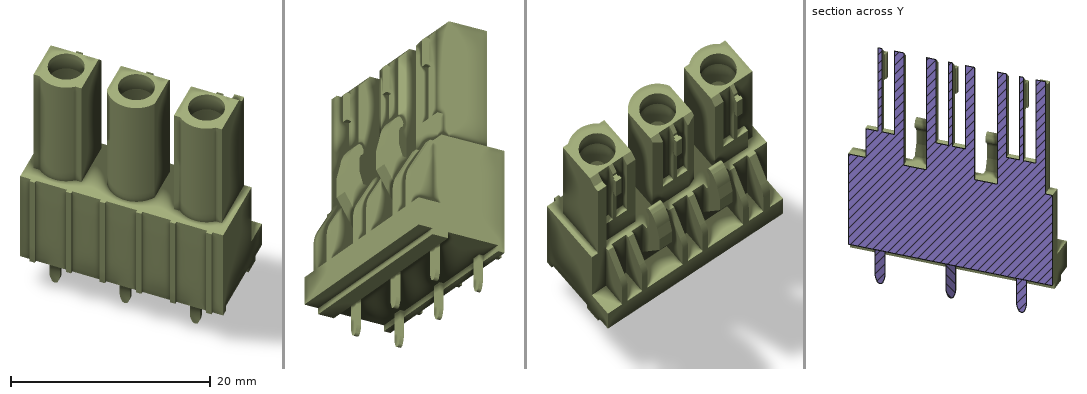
import cadquery as cq
import math

POLE_COUNT = 3
PITCH = 7.63
POLE_X = [(i - (POLE_COUNT - 1) / 2) * PITCH for i in range(POLE_COUNT)]
LEFT_X = POLE_X[0]
RIGHT_X = POLE_X[-1]

BASE_LENGTH = 22.05
BASE_FRONT_Y = -3.85
BASE_BACK_Y = 3.58
BASE_TOP_Z = 11.32
UNDERSIDE_Z = 0.67
SHELF_BACK_Y = 6.27
SHELF_TOP_Z = 3.7
FRONT_FOOT_BACK_Y = -3.08
BACK_FOOT_FRONT_Y = 2.8
BACK_FOOT_BACK_Y = 4.63

RIB_WIDTH = 0.58
RIB_HEIGHT = 0.3
RIB_OFFSET = 1.97

FIN_INNER_OFFSET = 0.92
FIN_THICKNESS = 0.7
END_FIN_THICKNESS = 0.85
FIN_TOP_DEPTH = 0.35
FIN_SLOPE_ANGLE = 59.0
FIN_ROUND_RADIUS = 3.27

LATCH_WIDTH = 1.58
LATCH_BACK_Y = 6.38
LATCH_BACK_TOP_Z = 12.07
LATCH_BACK_BOTTOM_Z = 9.93
LATCH_ROOT_Z = 5.65
LATCH_STEM_FOOT_Y = 4.22
LATCH_STEM_Y = 4.63
LATCH_STEM_BOTTOM_Z = 12.57
LATCH_STEM_TOP_Z = 14.12
LATCH_HOLLOW_MIDDLE = (4.52, 14.4)
LATCH_NOSE_UNDERSIDE = (4.27, 14.6)
LATCH_NOSE_MIDDLE = (4.15, 14.87)
LATCH_NOSE_FRONT = (4.2, 15.17)
LATCH_NOSE_TOP_START = (4.33, 15.45)
LATCH_NOSE_PEAK = (4.58, 15.65)
LATCH_NOSE_TOP_END = (4.83, 15.55)
LATCH_CROWN_START = (5.13, 15.3)
LATCH_CROWN_MIDDLE = (5.7, 14.54)
LATCH_CROWN_END = (5.96, 13.62)

TOWER_TOP_Z = 24.55
TOWER_WIDTH = 5.22
TOWER_ARC_RADIUS = 3.0
TOWER_SHOULDER_Y = -2.27
TOWER_BACK_Y = 2.9
TOP_CHAMFER_DEPTH = 0.7
TOP_CHAMFER_DROP = 0.78
CORNER_CHAMFER_X = 0.85
CORNER_CHAMFER_Y = 0.35

RECESS_HALF_WIDTH = 1.55
RECESS_FRONT_Y = TOWER_BACK_Y - TOP_CHAMFER_DEPTH
RECESS_FLOOR_Z = 14.7
NECK_WIDTH = 0.47
HEAD_WIDTH = 0.72
HEAD_FRONT_Y = 3.2
HEAD_BOTTOM_Z = 20.35
HEAD_TOP_Z = 23.35

KEY_TOP_Z = TOWER_TOP_Z - TOP_CHAMFER_DROP

SOCKET_RADIUS = 1.85
SOCKET_DEPTH = 2.08
CONE_END_RADIUS = 0.95
CONE_DEPTH = 1.95

PIN_WIDTH = 1.1
PIN_TIP_Z = -3.2
PIN_TAPER_Z = -2.22
PIN_FLANK_Z = -2.58
PIN_FLANK_WIDTH = 0.97
PIN_END_Z = -2.88
PIN_END_WIDTH = 0.72
PIN_ROWS = [(-3.02, 0.45), (2.0, 0.53)]


def box(x_min, x_max, y_min, y_max, z_min, z_max):
    """Axis-aligned box between the given limits."""
    size = (x_max - x_min, y_max - y_min, z_max - z_min)
    return cq.Workplane("XY").box(*size, centered=False).translate((x_min, y_min, z_min))


def side_plane(x_min):
    """Workplane at x_min for a (Y, Z) outline that is extruded along +X."""
    return cq.Workplane("YZ", origin=(x_min, 0, 0))


def make_base():
    """Block with a shelf along its back and a foot along each underside edge."""
    outline = side_plane(-BASE_LENGTH / 2).polyline([
        (BASE_FRONT_Y, 0),
        (FRONT_FOOT_BACK_Y, 0),
        (FRONT_FOOT_BACK_Y, UNDERSIDE_Z),
        (BACK_FOOT_FRONT_Y, UNDERSIDE_Z),
        (BACK_FOOT_FRONT_Y, 0),
        (BACK_FOOT_BACK_Y, 0),
        (BACK_FOOT_BACK_Y, UNDERSIDE_Z),
        (SHELF_BACK_Y, UNDERSIDE_Z),
        (SHELF_BACK_Y, SHELF_TOP_Z),
        (BASE_BACK_Y, SHELF_TOP_Z),
        (BASE_BACK_Y, BASE_TOP_Z),
        (BASE_FRONT_Y, BASE_TOP_Z),
    ]).close()
    return outline.extrude(BASE_LENGTH)


def make_front_rib(center_x):
    """Full-height vertical rib on the front wall."""
    return box(center_x - RIB_WIDTH / 2, center_x + RIB_WIDTH / 2,
               BASE_FRONT_Y - RIB_HEIGHT, BASE_FRONT_Y, 0, BASE_TOP_Z)


def make_fin(x_min, x_max):
    """Fin on the shelf: flat top, sloping back, rounded into a vertical edge."""
    slope = math.radians(FIN_SLOPE_ANGLE)
    top_end_y = BASE_BACK_Y + FIN_TOP_DEPTH
    corner_z = BASE_TOP_Z - (SHELF_BACK_Y - top_end_y) * math.tan(slope)
    turn = math.pi / 2 - slope
    setback = FIN_ROUND_RADIUS * math.tan(turn / 2)
    arc_start = (SHELF_BACK_Y - setback * math.cos(slope), corner_z + setback * math.sin(slope))
    arc_end = (SHELF_BACK_Y, corner_z - setback)
    arc_middle = (SHELF_BACK_Y - FIN_ROUND_RADIUS * (1 - math.cos(turn / 2)),
                  corner_z - setback + FIN_ROUND_RADIUS * math.sin(turn / 2))
    outline = (
        side_plane(x_min)
        .moveTo(BASE_BACK_Y, SHELF_TOP_Z)
        .lineTo(BASE_BACK_Y, BASE_TOP_Z)
        .lineTo(top_end_y, BASE_TOP_Z)
        .lineTo(*arc_start)
        .threePointArc(arc_middle, arc_end)
        .lineTo(SHELF_BACK_Y, SHELF_TOP_Z)
        .close()
    )
    return outline.extrude(x_max - x_min)


def make_fin_pair(pole_x):
    """Fins either side of a pole; the one at the left end of the row is thicker."""
    left_thickness = END_FIN_THICKNESS if pole_x == LEFT_X else FIN_THICKNESS
    left_edge = pole_x - FIN_INNER_OFFSET
    right_edge = pole_x + FIN_INNER_OFFSET
    left_fin = make_fin(left_edge - left_thickness, left_edge)
    return left_fin.union(make_fin(right_edge, right_edge + FIN_THICKNESS))


def make_latch(center_x):
    """Hook rising from the back wall, with a curved back and a rounded nose."""
    outline = (
        side_plane(center_x - LATCH_WIDTH / 2)
        .moveTo(BASE_BACK_Y, LATCH_ROOT_Z)
        .lineTo(BASE_BACK_Y, BASE_TOP_Z)
        .lineTo(LATCH_STEM_FOOT_Y, BASE_TOP_Z)
        .lineTo(LATCH_STEM_Y, LATCH_STEM_BOTTOM_Z)
        .lineTo(LATCH_STEM_Y, LATCH_STEM_TOP_Z)
        .threePointArc(LATCH_HOLLOW_MIDDLE, LATCH_NOSE_UNDERSIDE)
        .threePointArc(LATCH_NOSE_MIDDLE, LATCH_NOSE_FRONT)
        .lineTo(*LATCH_NOSE_TOP_START)
        .threePointArc(LATCH_NOSE_PEAK, LATCH_NOSE_TOP_END)
        .lineTo(*LATCH_CROWN_START)
        .threePointArc(LATCH_CROWN_MIDDLE, LATCH_CROWN_END)
        .lineTo(LATCH_BACK_Y, LATCH_BACK_TOP_Z)
        .lineTo(LATCH_BACK_Y, LATCH_BACK_BOTTOM_Z)
        .close()
    )
    return outline.extrude(LATCH_WIDTH)


def make_tower_column(center_x, square_front):
    """Solid tower with a round front, optionally with square front shoulders."""
    half = TOWER_WIDTH / 2
    height = TOWER_TOP_Z - BASE_TOP_Z
    front_y = -math.sqrt(TOWER_ARC_RADIUS ** 2 - half ** 2)
    column = (
        cq.Workplane("XY", origin=(center_x, 0, BASE_TOP_Z))
        .moveTo(-half, TOWER_BACK_Y)
        .lineTo(-half, front_y)
        .threePointArc((0, -TOWER_ARC_RADIUS), (half, front_y))
        .lineTo(half, TOWER_BACK_Y)
        .close()
        .extrude(height)
    )
    if square_front:
        shoulders = box(center_x - half, center_x + half, TOWER_SHOULDER_Y, 0, BASE_TOP_Z, TOWER_TOP_Z)
        column = column.union(shoulders)
    return column


def make_top_chamfer(center_x):
    """Wedge that bevels the back edge of a tower top."""
    return side_plane(center_x - TOWER_WIDTH / 2).polyline([
        (RECESS_FRONT_Y, TOWER_TOP_Z),
        (TOWER_BACK_Y, TOWER_TOP_Z),
        (TOWER_BACK_Y, TOWER_TOP_Z - TOP_CHAMFER_DROP),
    ]).close().extrude(TOWER_WIDTH)


def make_corner_chamfer(center_x, side):
    """Full-height wedge that bevels one back corner of a tower; side is -1 or 1."""
    corner_x = center_x + side * TOWER_WIDTH / 2
    return cq.Workplane("XY", origin=(0, 0, BASE_TOP_Z)).polyline([
        (corner_x, TOWER_BACK_Y),
        (corner_x - side * CORNER_CHAMFER_X, TOWER_BACK_Y),
        (corner_x, TOWER_BACK_Y - CORNER_CHAMFER_Y),
    ]).close().extrude(TOWER_TOP_Z - BASE_TOP_Z)


def make_recesses(center_x):
    """Two pockets in the back of a tower, leaving the neck of the rib between them."""
    pockets = box(center_x - RECESS_HALF_WIDTH, center_x + RECESS_HALF_WIDTH,
                  RECESS_FRONT_Y, TOWER_BACK_Y, RECESS_FLOOR_Z, TOWER_TOP_Z)
    neck = box(center_x - NECK_WIDTH / 2, center_x + NECK_WIDTH / 2,
               RECESS_FRONT_Y, TOWER_BACK_Y, RECESS_FLOOR_Z, TOWER_TOP_Z)
    return pockets.cut(neck)


def make_rib_head(center_x):
    """T-shaped head standing out from the rib in the recess."""
    neck = box(center_x - NECK_WIDTH / 2, center_x + NECK_WIDTH / 2,
               TOWER_BACK_Y, HEAD_FRONT_Y, HEAD_BOTTOM_Z, HEAD_TOP_Z)
    head = box(center_x - HEAD_WIDTH / 2, center_x + HEAD_WIDTH / 2,
               HEAD_FRONT_Y, BASE_BACK_Y, HEAD_BOTTOM_Z, HEAD_TOP_Z)
    return neck.union(head)


def make_socket(center_x):
    """Round bore that ends in a cone with a flat floor."""
    bore_floor_z = TOWER_TOP_Z - SOCKET_DEPTH
    return (
        cq.Workplane("XZ", origin=(center_x, 0, 0))
        .polyline([
            (0, TOWER_TOP_Z),
            (SOCKET_RADIUS, TOWER_TOP_Z),
            (SOCKET_RADIUS, bore_floor_z),
            (CONE_END_RADIUS, bore_floor_z - CONE_DEPTH),
            (0, bore_floor_z - CONE_DEPTH),
        ])
        .close()
        .revolve(360, (0, 0, 0), (0, 1, 0))
    )


def make_tower(center_x):
    """Complete tower; the end towers have square fronts, the others bevelled back corners."""
    is_end = center_x in (LEFT_X, RIGHT_X)
    tower = make_tower_column(center_x, square_front=is_end)
    tower = tower.cut(make_top_chamfer(center_x)).cut(make_recesses(center_x))
    if not is_end:
        for side in (-1, 1):
            tower = tower.cut(make_corner_chamfer(center_x, side))
    return tower.union(make_rib_head(center_x)).cut(make_socket(center_x))


def make_left_corner_cut():
    """Full-height cut that removes the outer back corner of the left tower."""
    return box(LEFT_X - TOWER_WIDTH / 2, LEFT_X - RECESS_HALF_WIDTH,
               RECESS_FRONT_Y, TOWER_BACK_Y, BASE_TOP_Z, TOWER_TOP_Z)


def make_right_key():
    """Coding key behind the outer back corner of the right tower."""
    return box(RIGHT_X + RECESS_HALF_WIDTH, RIGHT_X + TOWER_WIDTH / 2,
               TOWER_BACK_Y, BASE_BACK_Y, BASE_TOP_Z, KEY_TOP_Z)


def make_housing():
    """Base, towers, fins, ribs and latches as one solid, with the coding of the end towers."""
    housing = make_base()
    for pole_x in POLE_X:
        housing = housing.union(make_tower(pole_x)).union(make_fin_pair(pole_x))
        for side in (-1, 1):
            housing = housing.union(make_front_rib(pole_x + side * RIB_OFFSET))
    for pole_x in POLE_X[:-1]:
        housing = housing.union(make_latch(pole_x + PITCH / 2))
    return housing.cut(make_left_corner_cut()).union(make_right_key())


def make_pin(center_x, front_y, thickness):
    """Flat pin below the underside, narrowing in bowed flanks to a round tip."""
    half = PIN_WIDTH / 2
    half_flank = PIN_FLANK_WIDTH / 2
    half_end = PIN_END_WIDTH / 2
    outline = (
        cq.Workplane("XZ", origin=(center_x, front_y, 0))
        .moveTo(half, PIN_TAPER_Z)
        .lineTo(half, UNDERSIDE_Z)
        .lineTo(-half, UNDERSIDE_Z)
        .lineTo(-half, PIN_TAPER_Z)
        .threePointArc((-half_flank, PIN_FLANK_Z), (-half_end, PIN_END_Z))
        .threePointArc((0, PIN_TIP_Z), (half_end, PIN_END_Z))
        .threePointArc((half_flank, PIN_FLANK_Z), (half, PIN_TAPER_Z))
        .close()
    )
    return outline.extrude(-thickness)


housing = make_housing()
pins = [make_pin(pole_x, front_y, thickness)
        for front_y, thickness in PIN_ROWS
        for pole_x in POLE_X]

result = cq.Compound.makeCompound([housing.val(), *[pin.val() for pin in pins]])